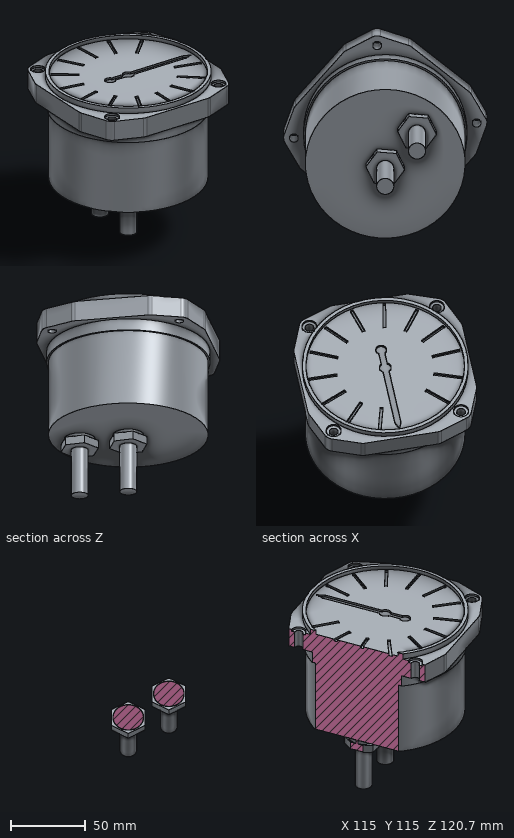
import cadquery as cq

TOTAL_HEIGHT = 120.7
BEZEL_HEIGHT = 4.1
FLANGE_THICKNESS = 14.1
SHOULDER_HEIGHT = 8.1
BODY_HEIGHT = 53.0
COLLAR_HEIGHT = 2.5
NUT_THICKNESS = 5.7

FLANGE_TOP = TOTAL_HEIGHT - BEZEL_HEIGHT
FLANGE_BOTTOM = FLANGE_TOP - FLANGE_THICKNESS
SHOULDER_BOTTOM = FLANGE_BOTTOM - SHOULDER_HEIGHT
BODY_BOTTOM = SHOULDER_BOTTOM - BODY_HEIGHT
COLLAR_BOTTOM = BODY_BOTTOM - COLLAR_HEIGHT
NUT_BOTTOM = COLLAR_BOTTOM - NUT_THICKNESS

BEZEL_DIAMETER = 111.1
DIAL_DIAMETER = 106.2
DIAL_RECESS = 2.8
SHOULDER_DIAMETER = 109.6
BODY_DIAMETER = 107.2
DIAL_FACE = TOTAL_HEIGHT - DIAL_RECESS

FLANGE_HALF_WIDTH = 57.5
FLANGE_HALF_FLAT = 26.2
FLANGE_CORNER = 48.9
FLANGE_EDGE_RADIUS = 7.0

HOLE_OFFSET = 43.5
HOLE_DIAMETER = 5.8
COUNTERBORE_DIAMETER = 10.0
COUNTERBORE_DEPTH = 1.5

ENGRAVING_DEPTH = 1.5
TICK_COUNT = 13
TICK_SPACING = 25.0
FIRST_TICK = 15.0
TICK_INNER_RADIUS = 33.0
TICK_LENGTH = 19.0
TICK_WIDTH = 1.9

POINTER_TIP = 51.0
POINTER_TAPER_START = 45.7
POINTER_HALF_WIDTH = 2.0
HUB_DIAMETER = 8.0
TAIL_CENTRE = -14.8
TAIL_DIAMETER = 7.2

CONNECTOR_POSITIONS = [(0, 0), (-33.2, 0)]
COLLAR_DIAMETER = 20.6
NUT_CORNER_RADIUS = 13.0
NUT_ROTATION = -5.0
STEM_DIAMETER = 11.5


def disc(diameter, bottom, top):
    """Vertical cylinder on the case axis."""
    return cq.Workplane("XY").workplane(offset=bottom).circle(diameter / 2).extrude(top - bottom)


def make_flange():
    """Twelve-sided flange with every vertical edge rounded."""
    quarter = [
        (FLANGE_HALF_WIDTH, FLANGE_HALF_FLAT),
        (FLANGE_CORNER, FLANGE_CORNER),
        (FLANGE_HALF_FLAT, FLANGE_HALF_WIDTH),
    ]
    outline = []
    for _ in range(4):
        outline += quarter
        quarter = [(-y, x) for x, y in quarter]
    return (
        cq.Workplane("XY")
        .workplane(offset=FLANGE_BOTTOM)
        .polyline(outline)
        .close()
        .extrude(FLANGE_THICKNESS)
        .edges("|Z")
        .fillet(FLANGE_EDGE_RADIUS)
    )


def make_ticks():
    """Radial graduations, counted clockwise from +Y."""
    blank = (
        cq.Workplane("XY")
        .box(TICK_WIDTH, TICK_LENGTH, ENGRAVING_DEPTH, centered=(True, False, False))
        .translate((0, TICK_INNER_RADIUS, DIAL_FACE - ENGRAVING_DEPTH))
    )
    ticks = cq.Workplane("XY")
    for index in range(TICK_COUNT):
        angle = FIRST_TICK + index * TICK_SPACING
        ticks = ticks.add(blank.rotate((0, 0, 0), (0, 0, 1), -angle))
    return ticks.combine()


def make_pointer():
    """Pointed bar along +Y with a round hub and a round tail."""
    floor = DIAL_FACE - ENGRAVING_DEPTH
    bar = (
        cq.Workplane("XY")
        .workplane(offset=floor)
        .polyline([
            (-POINTER_HALF_WIDTH, TAIL_CENTRE),
            (POINTER_HALF_WIDTH, TAIL_CENTRE),
            (POINTER_HALF_WIDTH, POINTER_TAPER_START),
            (0, POINTER_TIP),
            (-POINTER_HALF_WIDTH, POINTER_TAPER_START),
        ])
        .close()
        .extrude(ENGRAVING_DEPTH)
    )
    hub = disc(HUB_DIAMETER, floor, DIAL_FACE)
    tail = disc(TAIL_DIAMETER, floor, DIAL_FACE).translate((0, TAIL_CENTRE, 0))
    return bar.union(hub).union(tail)


def make_connector():
    """Collar, hexagonal nut and stem below the case."""
    nut = (
        cq.Workplane("XY")
        .workplane(offset=NUT_BOTTOM)
        .polygon(6, 2 * NUT_CORNER_RADIUS)
        .extrude(NUT_THICKNESS)
        .rotate((0, 0, 0), (0, 0, 1), NUT_ROTATION)
    )
    collar = disc(COLLAR_DIAMETER, COLLAR_BOTTOM, BODY_BOTTOM)
    stem = disc(STEM_DIAMETER, 0, NUT_BOTTOM)
    return collar.union(nut).union(stem)


result = (
    disc(BODY_DIAMETER, BODY_BOTTOM, SHOULDER_BOTTOM)
    .union(disc(SHOULDER_DIAMETER, SHOULDER_BOTTOM, FLANGE_BOTTOM))
    .union(make_flange())
    .union(disc(BEZEL_DIAMETER, FLANGE_TOP, TOTAL_HEIGHT))
)

result = result.cut(disc(DIAL_DIAMETER, DIAL_FACE, TOTAL_HEIGHT))
result = result.cut(make_ticks()).cut(make_pointer())

result = (
    result.copyWorkplane(cq.Workplane("XY", origin=(0, 0, FLANGE_TOP)))
    .rect(2 * HOLE_OFFSET, 2 * HOLE_OFFSET, forConstruction=True)
    .vertices()
    .cboreHole(HOLE_DIAMETER, COUNTERBORE_DIAMETER, COUNTERBORE_DEPTH)
)

for x, y in CONNECTOR_POSITIONS:
    result = result.union(make_connector().translate((x, y, 0)))